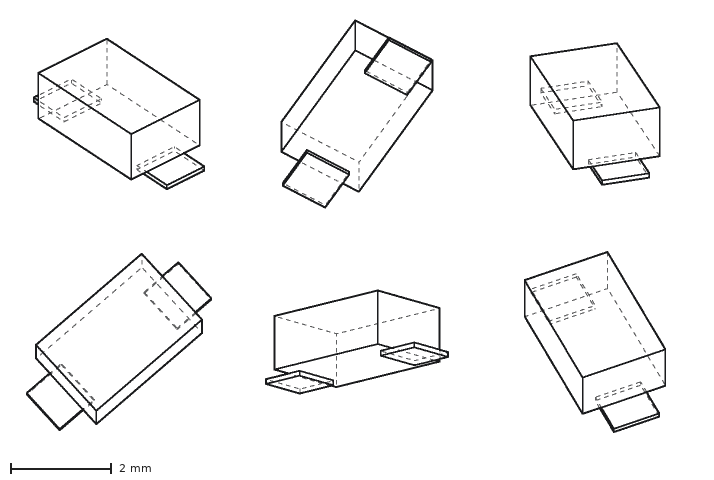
import cadquery as cq

overall_length = 4.02
overall_height = 1.2

lead_length = 0.913
lead_width = 0.985
lead_thickness = 0.1

body_length = 2.8
body_width = 1.8
body_height = overall_height - lead_thickness


def make_body():
    """Plain block whose underside lies on the top faces of the leads."""
    return (
        cq.Workplane("XY")
        .workplane(offset=lead_thickness)
        .box(body_length, body_width, body_height, centered=(True, True, False))
    )


def make_lead(side):
    """Flat strip reaching the overall length at the -X (side = -1) or +X (side = 1) end."""
    center_x = side * (overall_length - lead_length) / 2
    return (
        cq.Workplane("XY")
        .center(center_x, 0)
        .box(lead_length, lead_width, lead_thickness, centered=(True, True, False))
    )


body = make_body()
leads = [make_lead(side) for side in (-1, 1)]

result = cq.Compound.makeCompound([body.val(), *[lead.val() for lead in leads]])